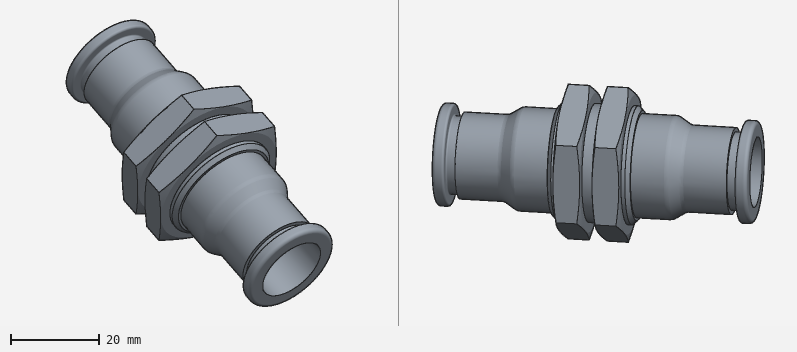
import cadquery as cq
import math

length = 72.5
half_length = length / 2

flange_diameter = 23.4
flange_width = 2.8
flange_outer_fillet = 0.95
flange_inner_fillet = 0.6
neck_diameter = 17.8
neck_fillet = 0.35

sleeve_diameter = 19.8
sleeve_start = 5.1
cone_start = 15.4
cone_end = 18.5
cone_root_fillet = 1.6
cone_top_fillet = 1.9
barrel_diameter = 23.7

collar_diameter = 27.0
collar_length = 19.05
collar_chamfer = 1.0

nut_across_flats = 32.0
nut_width = 6.2
nut_gap = 2.75
nut_face_diameter = 31.7
nut_chamfer_angle = 15.0

bore_diameter = 16.0
bore_depth = 22.5


def cylinder(diameter, start, width):
    """Cylinder on the X axis from start to start + width."""
    return cq.Workplane("YZ", origin=(start, 0, 0)).circle(diameter / 2).extrude(width)


def make_flange():
    flange = cylinder(flange_diameter, -half_length, flange_width)
    flange = flange.faces("<X").edges().fillet(flange_outer_fillet)
    return flange.faces(">X").edges().fillet(flange_inner_fillet)


def make_sleeve_and_barrel():
    """Sleeve widening through a blended cone into the barrel, up to the middle plane."""
    profile = [
        (-half_length + sleeve_start, 0),
        (-half_length + sleeve_start, sleeve_diameter / 2),
        (-half_length + cone_start, sleeve_diameter / 2),
        (-half_length + cone_end, barrel_diameter / 2),
        (0, barrel_diameter / 2),
        (0, 0),
    ]
    body = cq.Workplane("XY").polyline(profile).close().revolve(360, (0, 0, 0), (1, 0, 0))

    def circle_at(distance, diameter):
        center = cq.Vector(-half_length + distance, 0, 0)
        margin = 0.1
        reach = diameter / 2 + margin
        low = (center.x - margin, -reach, -reach)
        high = (center.x + margin, reach, reach)
        return cq.selectors.BoxSelector(low, high, boundingbox=True)

    body = body.edges(circle_at(cone_start, sleeve_diameter)).fillet(cone_root_fillet)
    return body.edges(circle_at(cone_end, barrel_diameter)).fillet(cone_top_fillet)


def make_neck():
    """Neck with a concave blend where it meets the back of the flange."""
    start = -half_length + flange_width
    radius = neck_diameter / 2
    neck = (
        cq.Workplane("XY")
        .moveTo(start, 0)
        .lineTo(start, radius + neck_fillet)
        .radiusArc((start + neck_fillet, radius), -neck_fillet)
        .lineTo(-half_length + sleeve_start, radius)
        .lineTo(-half_length + sleeve_start, 0)
        .close()
    )
    return neck.revolve(360, (0, 0, 0), (1, 0, 0))


def make_half():
    half = make_flange().union(make_neck()).union(make_sleeve_and_barrel())
    return half.cut(cylinder(bore_diameter, -half_length, bore_depth))


def make_collar():
    collar = cylinder(collar_diameter, -collar_length / 2, collar_length)
    return collar.faces("<X or >X").edges().chamfer(collar_chamfer)


def make_nut(start):
    """Hexagonal nut with corners along Z and both faces chamfered conically."""
    across_corners = nut_across_flats / math.cos(math.pi / 6)
    hexagon = cq.Workplane("YZ", origin=(start, 0, 0)).transformed(rotate=(0, 0, 90))
    hexagon = hexagon.polygon(6, across_corners).extrude(nut_width)
    face_radius = nut_face_diameter / 2
    corner_radius = across_corners / 2
    drop = (corner_radius - face_radius) * math.tan(math.radians(nut_chamfer_angle))
    envelope_profile = [
        (start, 0),
        (start, face_radius),
        (start + drop, corner_radius),
        (start + nut_width - drop, corner_radius),
        (start + nut_width, face_radius),
        (start + nut_width, 0),
    ]
    envelope = cq.Workplane("XY").polyline(envelope_profile).close().revolve(360, (0, 0, 0), (1, 0, 0))
    return hexagon.intersect(envelope)


half = make_half()
result = half.union(half.mirror("YZ")).union(make_collar())
for nut_start in (-nut_gap / 2 - nut_width, nut_gap / 2):
    result = result.union(make_nut(nut_start))